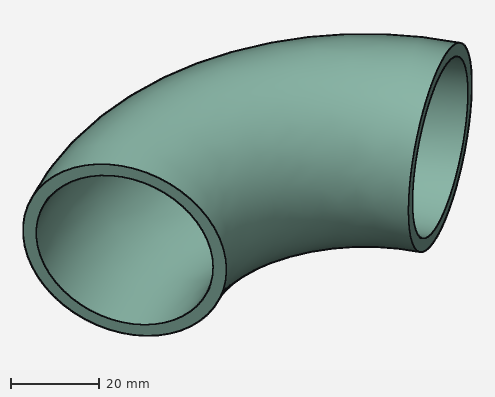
import cadquery as cq

overall_size = 81.15
outer_diameter = 48.3
wall_thickness = 3.2

outer_radius = outer_diameter / 2
inner_radius = outer_radius - wall_thickness
bend_radius = overall_size - outer_radius
bend_angle = 90


def pipe_elbow():
    """Sweep the pipe ring about a vertical axis, from the -Y facing end to the +X facing end."""
    ring = cq.Workplane("XZ").circle(outer_radius).circle(inner_radius)
    return ring.revolve(bend_angle, (bend_radius, 0.8, 0), (bend_radius, -0.8, 0))


result = pipe_elbow()